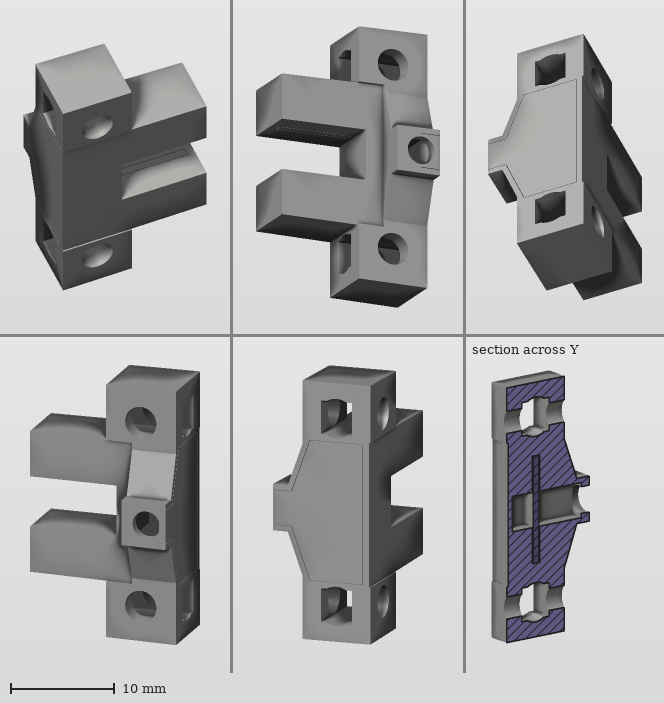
import cadquery as cq
import math


height = 25.6
width = 10.0
depth = 15.1
draft = 0.5

ear_left = 3.02
ear_depth = 7.2
ear_inner_height = 7.17

fork_left = 3.45
fork_right = 9.85
fork_half_height = 7.25
gap_half_height = 2.53
gap_floor = 6.25

nose_depth = 4.5
nose_half_height = 2.3
nose_length = 1.5
flare_end = 6.5

mount_x = (ear_left + width) / 2
mount_y = 3.6
mount_z = 9.3
cross_hole_diameter = 3.2
slot_width = 3.2
slot_height = 3.33
slot_bore_diameter = 3.9

opening_half_height = 6.96
opening_nose_half_height = 1.75
opening_nose_length = 1.87
opening_flare_end = 3.76
opening_right = 9.27
cavity_depth = 3.85
clearance = 0.05
cover_thickness = 1.05
plug_depth = 2.0
plug_length = 1.02
cable_hole_diameter = 2.8

insert_x = 6.48
insert_width = 0.75
insert_tip = 14.23
insert_leg_height = 2.82


def block(x_range, y_range, z_range):
    """Box between the given limits."""
    corner = (x_range[0], y_range[0], z_range[0])
    size = [high - low for low, high in (x_range, y_range, z_range)]
    return cq.Workplane("XY").box(*size, centered=False).translate(corner)


def front_sketch():
    """Workplane at Y = 0 with local axes X and Z; a negative extrusion goes to +Y."""
    return cq.Workplane("XZ")


def mirrored_outline(upper_points):
    """Points of an outline from its upper half, completed below Z = 0."""
    return upper_points + [(x, -z) for x, z in reversed(upper_points)]


def drafted_prism(points, length):
    """Outline at Y = 0 extruded to +Y with the outer draft."""
    return front_sketch().polyline(points).close().extrude(-length, taper=draft)


def opening_outline(inset):
    """Outline of the front opening, moved inward by the inset except at the nose tip."""
    nose_z = opening_nose_half_height
    flare_angle = math.atan2(opening_half_height - nose_z, opening_flare_end - opening_nose_length)
    shift = inset * math.tan(flare_angle / 2)
    return mirrored_outline([
        (0, nose_z - inset),
        (opening_nose_length + shift, nose_z - inset),
        (opening_flare_end + shift, opening_half_height - inset),
        (opening_right - inset, opening_half_height - inset),
    ])


def opening_prism(inset):
    """Plate with the outline of the front opening, as thick as the cover."""
    return front_sketch().polyline(opening_outline(inset)).close().extrude(-cover_thickness)


def cable_hole():
    """Round hole along X through the nose tip, centred on the back of the plug."""
    plane = cq.Workplane("YZ")
    return plane.center(plug_depth, 0).circle(cable_hole_diameter / 2).extrude(plug_length)


def insert_shape(side_gap, tip_gap):
    """U-shaped plate: a bridge behind the cover and two legs along the gap."""
    leg_top = gap_half_height + insert_leg_height
    half_width = insert_width / 2 + side_gap
    x_range = (insert_x - half_width, insert_x + half_width)
    plate = block(x_range, (cover_thickness, insert_tip + tip_gap), (-leg_top, leg_top))
    between_legs = block(x_range, (cavity_depth, depth), (-gap_half_height, gap_half_height))
    return plate.cut(between_legs)


def mounting_openings(z):
    """Openings of one ear: a bulged slot along Y and a round hole along X."""
    slot = front_sketch().center(mount_x, z).rect(slot_width, slot_height).extrude(-ear_depth)
    bore = front_sketch().center(mount_x, z).circle(slot_bore_diameter / 2).extrude(-ear_depth)
    bore = bore.intersect(block(
        (mount_x - slot_width / 2, mount_x + slot_width / 2),
        (0, ear_depth), (z - slot_bore_diameter, z + slot_bore_diameter)))
    cross_hole = cq.Workplane("YZ").center(mount_y, z).circle(cross_hole_diameter / 2).extrude(width)
    return slot.union(bore).union(cross_hole)


def make_housing():
    ears = drafted_prism(
        mirrored_outline([(ear_left, height / 2), (width, height / 2)]), ear_depth)
    ears = ears.cut(block((0, width), (0, depth), (-ear_inner_height, ear_inner_height)))
    fork = drafted_prism(
        mirrored_outline([(fork_left, fork_half_height), (fork_right, fork_half_height)]), depth)
    fork = fork.cut(block((0, width), (gap_floor, depth), (-gap_half_height, gap_half_height)))
    nose = drafted_prism(
        mirrored_outline([
            (0, nose_half_height),
            (nose_length, nose_half_height),
            (ear_left, flare_end),
            (ear_left, fork_half_height),
            (fork_right, fork_half_height),
        ]), nose_depth)
    housing = ears.union(fork).union(nose).clean()

    half = opening_nose_half_height
    cover_seat = opening_prism(0)
    plug_seat = block((0, plug_length), (0, plug_depth), (-half, half))
    cavity = block((plug_length, opening_right), (0, cavity_depth), (-half, half))
    housing = housing.cut(cover_seat).cut(plug_seat).cut(cavity).cut(cable_hole())
    housing = housing.cut(insert_shape(clearance, clearance))
    for side in (-1, 1):
        housing = housing.cut(mounting_openings(side * mount_z))
    return housing


def make_cover():
    plate = opening_prism(clearance)
    half = opening_nose_half_height - clearance
    plug = block((0, plug_length), (0, plug_depth), (-half, half))
    return plate.union(plug).cut(cable_hole())


def make_insert():
    return insert_shape(0, 0)


housing = make_housing()
cover = make_cover()
insert = make_insert()

result = cq.Compound.makeCompound([housing.val(), cover.val(), insert.val()])